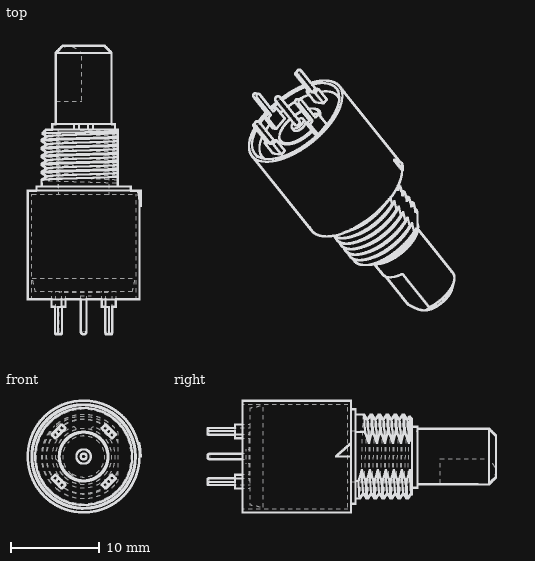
import cadquery as cq
import math


can_length = 12.32
flange_thickness = 0.5
bushing_length = 6.4
collar_thickness = 0.62
shaft_reach = 8.9
terminal_reach = 3.95
flange_front = can_length + flange_thickness
bushing_front = flange_front + bushing_length
collar_front = bushing_front + collar_thickness
shaft_tip = collar_front + shaft_reach

can_radius = 6.35
bore_radius = 5.92
wall = can_radius - bore_radius
cavity_depth = can_length - wall
flange_radius = 5.35
bushing_flat_x = 3.9

thread_radius = 4.77
root_radius = 4.2
bushing_front_radius = 4.25
thread_pitch = 0.905
crest_width = 0.1
thread_start = 0.65
cutter_overlap = 0.03

tab_radius = 6.47
tab_width = 1.55
tab_length = 1.73

shaft_radius = 3.17
tip_chamfer = 0.82
flat_length = 6.35
flat_distance = 2.42
flat_angle = 45
journal_radius = 2.88
collar_radius = 3.55
gap_floor_half_width = 0.52

recess_depth = 0.88
plate_radius = 5.82
plate_face_radius = 5.5
plate_bevel_depth = 1.47
boss_height = 0.1
boss_root_radius = 2.8
boss_top_radius = 2.7
hub_radius = 0.82
hub_height = 0.4

terminal_offset = 2.85
blade_width = 1.65
blade_thickness = 0.62
blade_reach = 0.85
leg_width = 0.52
center_pin_radius = 0.33


def turned(profile):
    """Solid of revolution about Y from (radius, y) points."""
    return cq.Workplane("XY").polyline(profile).close().revolve(360, (0, 0), (0, 1))


def cylinder(radius, y_start, y_end):
    return turned([(0, y_start), (radius, y_start), (radius, y_end), (0, y_end)])


def box_between(x_range, y_range, z_range):
    size = [high - low for low, high in (x_range, y_range, z_range)]
    corner = (x_range[0], y_range[0], z_range[0])
    return cq.Workplane("XY").box(*size, centered=False).translate(corner)


def thread_groove():
    """V-shaped helical cutter that starts at +X and runs out past the bushing front."""
    run = bushing_length - thread_start + thread_pitch
    flank_slope = (thread_pitch - crest_width) / 2 / (thread_radius - root_radius)
    cutter_radius = thread_radius + cutter_overlap
    half_width = flank_slope * (cutter_radius - root_radius)
    helix = cq.Wire.makeHelix(thread_pitch, run, root_radius)
    groove = (
        cq.Workplane("XZ")
        .polyline([(root_radius, 0), (cutter_radius, half_width), (cutter_radius, -half_width)])
        .close()
        .sweep(cq.Workplane(obj=helix), isFrenet=True)
    )
    turned_to_y = groove.rotate((0, 0, 0), (1, 0, 0), -90)
    return turned_to_y.translate((0, flange_front + thread_start, 0))


def bushing_chamfer():
    """Ring that bevels the front of the thread at 45 degrees."""
    ring_radius = can_radius
    bevel_rise = ring_radius - bushing_front_radius
    return turned([
        (bushing_front_radius, bushing_front),
        (ring_radius, bushing_front - bevel_rise),
        (ring_radius, bushing_front),
    ])


def locating_tab():
    """Triangular patch raised from the can at +X, along its front edge."""
    triangle = (
        cq.Workplane("YZ")
        .polyline([(can_length, 0), (can_length, tab_width), (can_length - tab_length, 0)])
        .close()
        .extrude(tab_radius)
    )
    band = cylinder(tab_radius, 0, can_length).cut(cylinder(bore_radius, 0, can_length))
    return triangle.intersect(band)


def make_housing():
    outside = turned([
        (0, 0),
        (can_radius, 0),
        (can_radius, can_length),
        (flange_radius, can_length),
        (flange_radius, flange_front),
        (thread_radius, flange_front),
        (thread_radius, bushing_front),
        (0, bushing_front),
    ])
    beyond_flat = box_between(
        (bushing_flat_x, can_radius), (flange_front, bushing_front), (-can_radius, can_radius)
    )
    return (
        outside.cut(beyond_flat)
        .cut(thread_groove())
        .cut(bushing_chamfer())
        .union(locating_tab())
        .cut(cylinder(bore_radius, 0, cavity_depth))
        .cut(cylinder(journal_radius, cavity_depth, bushing_front))
    )


def shaft_flat():
    """Block that leaves a flat facing -X and -Z at the shaft tip."""
    block = box_between(
        (-collar_radius, -flat_distance),
        (shaft_tip - flat_length, shaft_tip),
        (-collar_radius, collar_radius),
    )
    return block.rotate((0, 0, 0), (0, 1, 0), -flat_angle)


def collar_gap():
    """Gap at the top of the collar with sides at 45 degrees, open down to the journal."""
    floor_z = math.sqrt(journal_radius**2 - gap_floor_half_width**2)
    top_half_width = gap_floor_half_width + collar_radius - floor_z
    wedge = (
        cq.Workplane("XZ", origin=(0, collar_front, 0))
        .polyline([
            (0, 0),
            (gap_floor_half_width, floor_z),
            (top_half_width, collar_radius),
            (-top_half_width, collar_radius),
            (-gap_floor_half_width, floor_z),
        ])
        .close()
        .extrude(collar_thickness)
    )
    return wedge.cut(cylinder(journal_radius, bushing_front, collar_front))


def make_shaft():
    outside = turned([
        (0, cavity_depth),
        (journal_radius, cavity_depth),
        (journal_radius, bushing_front),
        (collar_radius, bushing_front),
        (collar_radius, collar_front),
        (shaft_radius, collar_front),
        (shaft_radius, shaft_tip - tip_chamfer),
        (shaft_radius - tip_chamfer, shaft_tip),
        (0, shaft_tip),
    ])
    return outside.cut(shaft_flat()).cut(collar_gap())


def flat_terminal(angle):
    """Blade with a narrower round-ended leg, set across the radius at the given angle from +X."""
    blade = box_between(
        (-blade_thickness / 2, blade_thickness / 2),
        (-blade_reach, recess_depth),
        (-blade_width / 2, blade_width / 2),
    )
    half_leg = leg_width / 2
    leg = (
        cq.Workplane("YZ", origin=(-blade_thickness / 2, 0, 0))
        .moveTo(-blade_reach, half_leg)
        .lineTo(half_leg - terminal_reach, half_leg)
        .threePointArc((-terminal_reach, 0), (half_leg - terminal_reach, -half_leg))
        .lineTo(-blade_reach, -half_leg)
        .close()
        .extrude(blade_thickness)
    )
    distance = terminal_offset * math.sqrt(2)
    return blade.union(leg).translate((distance, 0, 0)).rotate((0, 0, 0), (0, 1, 0), angle)


def center_pin():
    tip_center_y = center_pin_radius - terminal_reach
    tip = cq.Workplane("XY").sphere(center_pin_radius).translate((0, tip_center_y, 0))
    return cylinder(center_pin_radius, tip_center_y, recess_depth).union(tip)


def make_base():
    boss_y = recess_depth - boss_height
    hub_y = boss_y - hub_height
    base = turned([
        (0, hub_y),
        (hub_radius, hub_y),
        (hub_radius, boss_y),
        (boss_top_radius, boss_y),
        (boss_root_radius, recess_depth),
        (plate_face_radius, recess_depth),
        (plate_radius, recess_depth + plate_bevel_depth),
        (bore_radius, recess_depth + plate_bevel_depth),
        (bore_radius, cavity_depth),
        (0, cavity_depth),
    ])
    for angle in (45, 135, 225, 315):
        base = base.union(flat_terminal(angle))
    return base.union(center_pin())


housing = make_housing().solids()
shaft = make_shaft().solids()
base = make_base().solids()

result = cq.Compound.makeCompound([housing.val(), shaft.val(), base.val()])